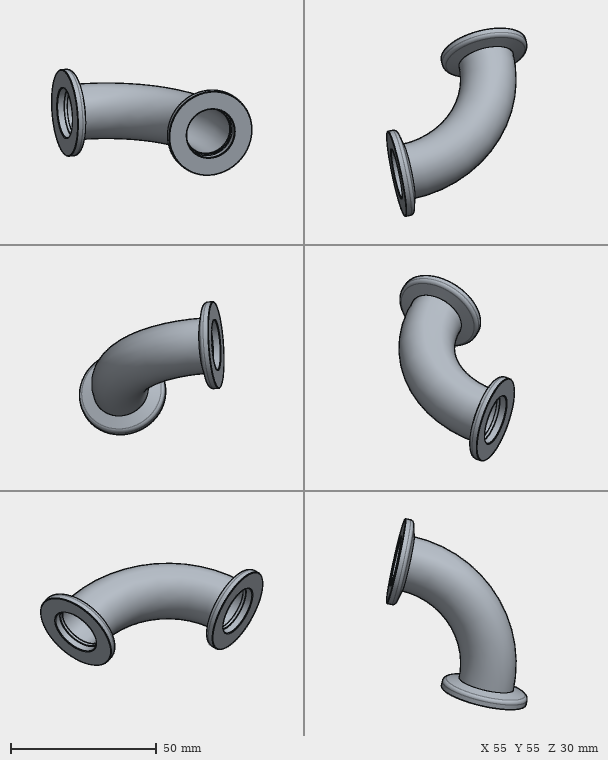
import cadquery as cq
import math

OVERALL = 55.0
FLANGE_DIAMETER = 30.0
FLANGE_RADIUS = FLANGE_DIAMETER / 2
REACH = OVERALL - FLANGE_RADIUS

FLANGE_THICKNESS = 4.4
TAPER_ANGLE = 15.0
BACK_ROUND = 1.45
FACE_CHAMFER = 0.2

RECESS_RADIUS = 8.6
RECESS_DEPTH = 2.6
RECESS_CHAMFER = 0.3
LEDGE_RADIUS = 8.15
TUBE_SEAT_DEPTH = 3.6

TUBE_DIAMETER = 19.2
TUBE_RADIUS = TUBE_DIAMETER / 2
BORE_RADIUS = 8.0
BEND_RADIUS = REACH - TUBE_SEAT_DEPTH

CENTRE_SHIFT = OVERALL / 2 - FLANGE_RADIUS


def make_flange():
    """Flange about the Z axis, with its sealing face at Z = 0 and its back towards +Z.

    The tube seat is cut later, once the flange is in place.
    """
    slope = math.radians(TAPER_ANGLE)
    corner_z = FLANGE_THICKNESS - (FLANGE_RADIUS - TUBE_RADIUS) * math.tan(slope)
    turn = math.pi / 2 - slope
    tangent = BACK_ROUND * math.tan(turn / 2)
    round_start_z = corner_z - tangent
    round_centre_r = FLANGE_RADIUS - BACK_ROUND
    round_middle = (
        round_centre_r + BACK_ROUND * math.cos(turn / 2),
        round_start_z + BACK_ROUND * math.sin(turn / 2),
    )
    round_end = (
        round_centre_r + BACK_ROUND * math.cos(turn),
        round_start_z + BACK_ROUND * math.sin(turn),
    )
    section = (
        cq.Workplane("XZ")
        .moveTo(RECESS_RADIUS + RECESS_CHAMFER, 0)
        .lineTo(FLANGE_RADIUS - FACE_CHAMFER, 0)
        .lineTo(FLANGE_RADIUS, FACE_CHAMFER)
        .lineTo(FLANGE_RADIUS, round_start_z)
        .threePointArc(round_middle, round_end)
        .lineTo(TUBE_RADIUS, FLANGE_THICKNESS)
        .lineTo(LEDGE_RADIUS, FLANGE_THICKNESS)
        .lineTo(LEDGE_RADIUS, RECESS_DEPTH)
        .lineTo(RECESS_RADIUS, RECESS_DEPTH)
        .lineTo(RECESS_RADIUS, RECESS_CHAMFER)
        .close()
    )
    return section.revolve(360, (0, 0, 0), (0, 1, 0))


def make_tube():
    """Quarter bend with each end inside a flange seat."""
    bend_start_y = -BEND_RADIUS
    ring = cq.Workplane("XZ", origin=(0, bend_start_y, 0)).circle(TUBE_RADIUS).circle(BORE_RADIUS)
    return ring.revolve(90, (BEND_RADIUS, 0, 0), (BEND_RADIUS, -1, 0))


shift = (-CENTRE_SHIFT, CENTRE_SHIFT, 0)
tube = make_tube().translate(shift)

bodies = [tube.val()]
for quarter_turn in (0, 90):
    flange = (
        make_flange()
        .rotate((0, 0, 0), (1, 0, 0), -90)
        .translate((0, -REACH, 0))
        .rotate((0, 0, 0), (0, 0, 1), quarter_turn)
        .translate(shift)
        .cut(tube)
    )
    bodies.append(flange.solids().val())

result = cq.Compound.makeCompound(bodies)